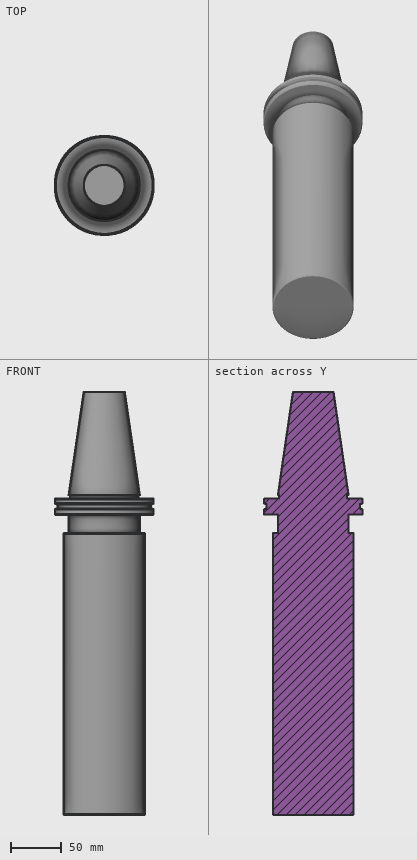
import cadquery as cq

TOTAL_LENGTH = 416.8
TAPER_LENGTH = 101.5
TAPER_RATIO = 7 / 24
GAUGE_RADIUS = 35.0
GAUGE_Z = TOTAL_LENGTH - TAPER_LENGTH
TIP_RADIUS = GAUGE_RADIUS - TAPER_LENGTH * TAPER_RATIO / 2

UNDERCUT_RADIUS = 33.8
UNDERCUT_HEIGHT = 3.2

FLANGE_RADIUS = 48.8
FLANGE_THICKNESS = 16.3
FLANGE_CHAMFER = 1.0
FLANGE_TOP_Z = GAUGE_Z - UNDERCUT_HEIGHT
FLANGE_BOTTOM_Z = FLANGE_TOP_Z - FLANGE_THICKNESS
GROOVE_CENTER_DEPTH = 8.0
GROOVE_CENTER_Z = FLANGE_TOP_Z - GROOVE_CENTER_DEPTH
GROOVE_MOUTH_WIDTH = 6.3
GROOVE_FLOOR_WIDTH = 3.8
GROOVE_DEPTH = 2.5

NECK_RADIUS = GAUGE_RADIUS
BODY_RADIUS = 40.0
BODY_CHAMFER = 1.0
BODY_LENGTH = 278.0


def cylinder(radius, bottom_z, top_z):
    return cq.Workplane("XY").workplane(offset=bottom_z).circle(radius).extrude(top_z - bottom_z)


def make_taper():
    """Conical shank, widest at the gauge plane."""
    profile = [(0, GAUGE_Z), (GAUGE_RADIUS, GAUGE_Z), (TIP_RADIUS, TOTAL_LENGTH), (0, TOTAL_LENGTH)]
    return cq.Workplane("XZ").polyline(profile).close().revolve(360, (0, 0), (0, 1))


def make_groove():
    """Ring that cuts the sloping-sided groove into the flange rim."""
    floor_radius = FLANGE_RADIUS - GROOVE_DEPTH
    profile = [
        (FLANGE_RADIUS, GROOVE_CENTER_Z - GROOVE_MOUTH_WIDTH / 2),
        (floor_radius, GROOVE_CENTER_Z - GROOVE_FLOOR_WIDTH / 2),
        (floor_radius, GROOVE_CENTER_Z + GROOVE_FLOOR_WIDTH / 2),
        (FLANGE_RADIUS, GROOVE_CENTER_Z + GROOVE_MOUTH_WIDTH / 2),
    ]
    return cq.Workplane("XZ").polyline(profile).close().revolve(360, (0, 0), (0, 1))


def make_flange():
    rim = cylinder(FLANGE_RADIUS, FLANGE_BOTTOM_Z, FLANGE_TOP_Z)
    rim = rim.faces("<Z or >Z").edges().chamfer(FLANGE_CHAMFER)
    return rim.cut(make_groove())


def make_body():
    body = cylinder(BODY_RADIUS, 0, BODY_LENGTH)
    return body.faces("<Z or >Z").edges().chamfer(BODY_CHAMFER)


result = (
    make_body()
    .union(cylinder(NECK_RADIUS, BODY_LENGTH, FLANGE_BOTTOM_Z))
    .union(make_flange())
    .union(cylinder(UNDERCUT_RADIUS, FLANGE_TOP_Z, GAUGE_Z))
    .union(make_taper())
)